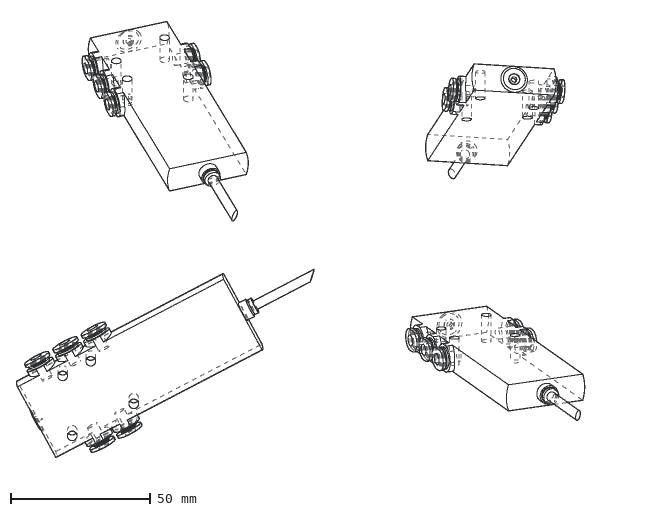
import cadquery as cq

total_length = 114.5
total_width = 40.4
height = 10.0

body_start = 0.5
body_end = 84.5
body_half_width = 15.5
flat_half_width = 14.7

plug_base_diameter = 9.7
plug_face_diameter = 8.0
plug_recess_diameter = 4.0
plug_recess_depth = 0.5
plug_hole_diameter = 2.0
plug_hole_depth = 2.3

mounting_hole_diameter = 3.4
mounting_holes = [(9.4, 10.5), (34.5, 10.5), (16.7, -10.5), (28.2, -10.5)]

front_fittings_x = [11.0, 22.5, 34.0]
back_fittings_x = [17.1, 28.0]
collar_diameter = 10.4
collar_end = 17.2
shoulder_diameter = 8.0
shoulder_end = 17.9
neck_diameter = 5.4
lip_start = 18.3
lip_diameter = 6.0
button_start = 18.7
button_edge_end = 19.8
button_diameter = 8.0
button_stretch = 1.8
button_rim_diameter = 4.6
tip = total_width / 2
bore_diameter = 4.0
bore_bottom = 11.5

gland_diameter = 7.0
gland_length = 3.0
gland_groove_diameter = 5.8
gland_groove_length = 0.6
gland_nut_diameter = 6.0
gland_nut_length = 1.4
cable_diameter = 3.4


def make_body():
    half_height = height / 2
    return (
        cq.Workplane("YZ", origin=(body_start, 0, 0))
        .moveTo(-flat_half_width, -half_height)
        .lineTo(flat_half_width, -half_height)
        .threePointArc((body_half_width, 0), (flat_half_width, half_height))
        .lineTo(-flat_half_width, half_height)
        .threePointArc((-body_half_width, 0), (-flat_half_width, -half_height))
        .close()
        .extrude(body_end - body_start)
    )


def make_plug():
    return (
        cq.Workplane("YZ", origin=(body_start, 0, 0))
        .circle(plug_base_diameter / 2)
        .workplane(offset=-body_start)
        .circle(plug_face_diameter / 2)
        .loft()
    )


def disc(diameter, start, end):
    """Disc around the z axis between two heights."""
    return cq.Workplane("XY", origin=(0, 0, start)).circle(diameter / 2).extrude(end - start)


def make_fitting():
    """Solid push-in fitting standing on the z axis."""
    collar = disc(collar_diameter, 0, collar_end).intersect(
        cq.Workplane("XY").box(2 * collar_diameter, height, 2 * collar_end)
    )
    button_length = button_diameter + button_stretch
    button = (
        cq.Workplane("XY", origin=(0, 0, button_start))
        .slot2D(button_length, button_diameter)
        .extrude(tip - button_start)
    )
    button_envelope = (
        cq.Workplane("XZ")
        .moveTo(0, 0)
        .lineTo(button_length / 2, 0)
        .lineTo(button_length / 2, button_edge_end)
        .lineTo(button_rim_diameter / 2, tip)
        .lineTo(0, tip)
        .close()
        .revolve(360, (0, 0), (0, 1))
    )
    return (
        collar
        .union(disc(shoulder_diameter, 0, shoulder_end))
        .union(disc(neck_diameter, 0, lip_start))
        .union(disc(lip_diameter, lip_start, button_start))
        .union(button.intersect(button_envelope))
    )


def place_on_sides(shape):
    """Copies of a z-axis shape at every fitting position, pointing out of the long sides."""
    front = shape.rotate((0, 0, 0), (1, 0, 0), 90)
    back = shape.rotate((0, 0, 0), (1, 0, 0), -90)
    copies = [front.translate((x, 0, 0)) for x in front_fittings_x]
    return copies + [back.translate((x, 0, 0)) for x in back_fittings_x]


def make_gland_and_cable():
    groove_start = body_end + gland_length
    nut_start = groove_start + gland_groove_length
    nut_end = nut_start + gland_nut_length
    cable_radius = cable_diameter / 2
    cable = (
        cq.Workplane("XY")
        .moveTo(body_end, -cable_radius)
        .lineTo(total_length, -cable_radius)
        .lineTo(total_length - cable_diameter, cable_radius)
        .lineTo(body_end, cable_radius)
        .close()
        .extrude(cable_radius, both=True)
        .intersect(disc(cable_diameter, 0, total_length).rotate((0, 0, 0), (0, 1, 0), 90))
    )
    gland = (
        disc(gland_diameter, body_end, groove_start)
        .union(disc(gland_groove_diameter, groove_start, nut_start))
        .union(disc(gland_nut_diameter, nut_start, nut_end))
        .rotate((0, 0, 0), (0, 1, 0), 90)
    )
    return gland.union(cable)


result = make_body().union(make_plug()).union(make_gland_and_cable())
for fitting in place_on_sides(make_fitting()):
    result = result.union(fitting)
for bore in place_on_sides(disc(bore_diameter, bore_bottom, tip)):
    result = result.cut(bore)

plug_face = cq.Workplane("YZ")
result = result.cut(plug_face.circle(plug_recess_diameter / 2).extrude(plug_recess_depth))
result = result.cut(plug_face.circle(plug_hole_diameter / 2).extrude(plug_hole_depth))
result = result.cut(
    cq.Workplane("XY")
    .pushPoints(mounting_holes)
    .circle(mounting_hole_diameter / 2)
    .extrude(height, both=True)
)